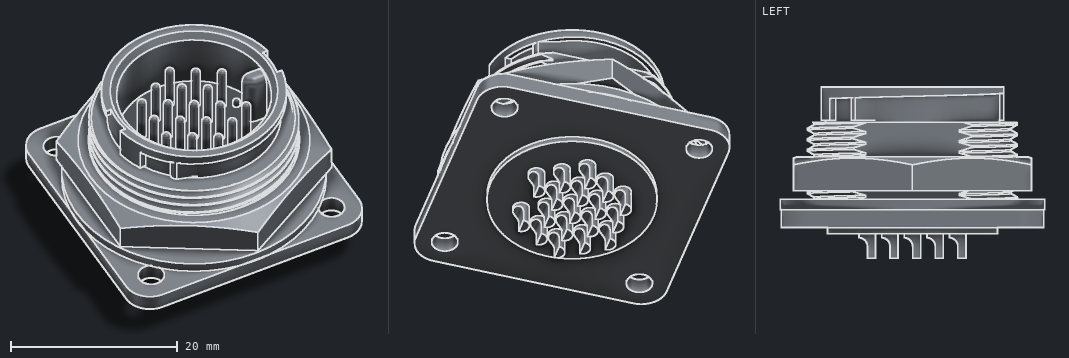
import cadquery as cq
import math

total_height = 20.55
tail_length = 2.92
insert_protrusion = 0.76
tail_bottom = -insert_protrusion - tail_length
flange_top = 2.15
collar_top = 3.4
nut_bottom = 4.4
nut_top = 8.47
thread_top = 12.6
rim_bottom = 12.85
shell_top = total_height + tail_bottom
socket_floor = 9.1

flange_side = 31.5
flange_corner_radius = 3.2
mount_hole_diameter = 3.15
mount_hole_spacing = 24.4
collar_diameter = 31.75
insert_radius = 10.2

thread_pitch = 1.27
thread_root_radius = 11.85
thread_crest_radius = 12.6
thread_crest_width = 0.2
thread_base_width = 1.05
thread_root_overlap = 0.1
thread_crest_height = 11.48
barrel_flat_x = -10.43

barrel_radius = 10.45
rim_radius = 11.1
notch_half_width = 1.84
stop_x = 5.0
ramp_high = 16.08
ramp_low = 15.47
channel_overrun_angle = 4
rim_overlap = 0.3
detent_start_angle = 25.6
detent_crest_angle = 38.3
detent_end_angle = 43.6
detent_shoulder_radius = 0.8

socket_radius = 9.28
mouth_radius = 10.04
key_radius = 1.21
key_centre_y = 7.85
key_top = 15.8
locator_radius = 0.45
locator_height = 0.9
locator_position = (-2.32, 6.97)
contact_pitch = 3.13
contact_row_spacing = contact_pitch * math.sqrt(3) / 2
contact_row_counts = [3, 4, 5, 4, 3]
contact_radius = 0.54
contact_top = 14.98
cup_radius = 1.0
cup_collar_length = 0.47

nut_across_corners = 33.0
nut_bevel_radius = 13.9
nut_bevel_angle = 20
nut_countersink_radius = 12.68


def cylinder(radius, bottom, top):
    return cq.Workplane("XY").workplane(offset=bottom).circle(radius).extrude(top - bottom)


def polar_point(radius, angle):
    return (radius * math.cos(math.radians(angle)), radius * math.sin(math.radians(angle)))


def half_turn_pair(feature):
    """The feature together with its copy turned half way round the Z axis."""
    return feature.union(feature.rotate((0, 0, 0), (0, 0, 1), 180))


def make_flange():
    plate = (
        cq.Workplane("XY")
        .rect(flange_side, flange_side)
        .extrude(flange_top)
        .edges("|Z")
        .fillet(flange_corner_radius)
        .faces(">Z")
        .workplane()
        .rect(mount_hole_spacing, mount_hole_spacing, forConstruction=True)
        .vertices()
        .hole(mount_hole_diameter)
    )
    collar = cylinder(collar_diameter / 2, flange_top, collar_top)
    insert_base = cylinder(insert_radius, -insert_protrusion, 0)
    return plate.union(collar).union(insert_base)


def make_threaded_barrel():
    """Round threaded barrel, before its flat is cut."""
    runout_turns = 2
    turns = math.ceil((thread_top - collar_top) / thread_pitch) + 2 * runout_turns
    start_height = thread_crest_height - (turns - runout_turns) * thread_pitch
    foot_radius = thread_root_radius - thread_root_overlap
    flank_slope = (thread_base_width - thread_crest_width) / (thread_crest_radius - thread_root_radius)
    foot_width = thread_base_width + flank_slope * thread_root_overlap
    helix = cq.Wire.makeHelix(thread_pitch, turns * thread_pitch, foot_radius)
    ridge = (
        cq.Workplane("XZ")
        .moveTo(foot_radius, -foot_width / 2)
        .lineTo(thread_crest_radius, -thread_crest_width / 2)
        .lineTo(thread_crest_radius, thread_crest_width / 2)
        .lineTo(foot_radius, foot_width / 2)
        .close()
        .sweep(cq.Workplane(helix), isFrenet=True)
        .translate((0, 0, start_height))
    )
    envelope = cylinder(collar_diameter / 2, collar_top, thread_top)
    core = cylinder(thread_root_radius, collar_top, thread_top)
    return core.union(ridge.intersect(envelope))


def cut_barrel_flat(barrel):
    flat_depth = thread_crest_radius + barrel_flat_x
    waste = cq.Workplane("XY").box(
        2 * flat_depth, collar_diameter, 2 * shell_top
    )
    return barrel.cut(waste.translate((barrel_flat_x - flat_depth, 0, 0)))


def make_ramp_channel():
    """Space under one half of the rim, rising from the stop wall to the notch."""
    stop_angle = 180 - math.degrees(math.acos(stop_x / rim_radius))
    notch_angle = 270 - math.degrees(math.asin(notch_half_width / rim_radius))
    rise_per_degree = (ramp_high - ramp_low) / (notch_angle - stop_angle)
    start_angle = stop_angle - channel_overrun_angle
    sweep_angle = notch_angle + channel_overrun_angle - start_angle
    start_height = ramp_low - channel_overrun_angle * rise_per_degree
    helix = cq.Wire.makeHelix(360 * rise_per_degree, sweep_angle * rise_per_degree, rim_radius)
    inner = barrel_radius - rim_overlap
    outer = rim_radius + rim_overlap
    channel_height = start_height - rim_bottom + 2 * (ramp_high - ramp_low)
    channel = (
        cq.Workplane("XZ")
        .moveTo(inner, 0)
        .lineTo(outer, 0)
        .lineTo(outer, -channel_height)
        .lineTo(inner, -channel_height)
        .close()
        .sweep(cq.Workplane(helix), isFrenet=True)
        .rotate((0, 0, 0), (0, 0, 1), start_angle)
        .translate((0, 0, start_height))
    )
    stop_block = cq.Workplane("XY").box(
        stop_x, outer, shell_top, centered=(False, False, False)
    )
    return channel.cut(stop_block.translate((-stop_x, 0, 0)))


def make_detent():
    """Small ridge under the rim that holds the bayonet pin against the stop wall."""
    root = barrel_radius - rim_overlap
    outline = (
        cq.Workplane("XY")
        .workplane(offset=rim_bottom)
        .moveTo(*polar_point(root, detent_start_angle))
        .lineTo(*polar_point(barrel_radius, detent_start_angle))
        .lineTo(*polar_point(rim_radius, detent_crest_angle))
        .radiusArc(polar_point(barrel_radius, detent_end_angle), -detent_shoulder_radius)
        .lineTo(*polar_point(root, detent_end_angle))
        .close()
    )
    detent = outline.extrude(ramp_high - rim_bottom)
    detent = detent.intersect(cylinder(rim_radius, rim_bottom, ramp_high))
    return detent.mirror("YZ")


def make_bayonet():
    rim = cylinder(rim_radius, rim_bottom, shell_top)
    notch = cq.Workplane("XY").box(2 * notch_half_width, collar_diameter, 2 * shell_top)
    rim = rim.cut(notch)
    rim = rim.cut(half_turn_pair(make_ramp_channel()))
    rim = rim.union(half_turn_pair(make_detent()))
    return rim.union(cylinder(barrel_radius, thread_top, shell_top))


def make_socket():
    chamfer_depth = mouth_radius - socket_radius
    return (
        cq.Workplane("XZ")
        .moveTo(0, socket_floor)
        .lineTo(socket_radius, socket_floor)
        .lineTo(socket_radius, shell_top - chamfer_depth)
        .lineTo(mouth_radius, shell_top)
        .lineTo(0, shell_top)
        .close()
        .revolve(360, (0, 0, 0), (0, 1, 0))
    )


def make_key():
    """Polarising key on the +Y wall of the socket, rounded on its nose and top."""
    axis_height = key_top - key_radius
    wall_y = (socket_radius + mouth_radius) / 2
    length = wall_y - key_centre_y
    post = cylinder(key_radius, socket_floor, axis_height).translate((0, key_centre_y, 0))
    web = cq.Workplane("XY").box(
        2 * key_radius, length, axis_height - socket_floor, centered=(True, False, False)
    )
    web = web.translate((0, key_centre_y, socket_floor))
    crown = cq.Workplane("XZ").circle(key_radius).extrude(-length)
    crown = crown.union(cq.Workplane("XY").sphere(key_radius))
    return post.union(web).union(crown.translate((0, key_centre_y, axis_height)))


def domed_pin(radius, bottom, top):
    shaft_top = top - radius
    dome = cq.Workplane("XY").sphere(radius).translate((0, 0, shaft_top))
    return cylinder(radius, bottom, shaft_top).union(dome)


def make_locator():
    pip = domed_pin(locator_radius, socket_floor, socket_floor + locator_height)
    return pip.translate((*locator_position, 0))


def make_contact():
    """Contact pin above the socket floor with a half-round solder tail below the flange."""
    tail_top = -insert_protrusion
    tail = cylinder(cup_radius, tail_bottom, tail_top)
    waste_top = tail_top - cup_collar_length
    waste = (
        cq.Workplane("YZ")
        .moveTo(0, tail_bottom)
        .lineTo(0, waste_top - cup_radius)
        .radiusArc((cup_radius, waste_top), cup_radius)
        .lineTo(cup_radius, tail_bottom)
        .close()
        .extrude(cup_radius, both=True)
    )
    return domed_pin(contact_radius, tail_top, contact_top).union(tail.cut(waste))


def contact_positions():
    """Hexagonal pattern of contacts, with the one beside the key left out."""
    middle_row = (len(contact_row_counts) - 1) / 2
    key_row = len(contact_row_counts) - 1
    positions = []
    for row, count in enumerate(contact_row_counts):
        y = (row - middle_row) * contact_row_spacing
        for column in range(count):
            x = (column - (count - 1) / 2) * contact_pitch
            if row == key_row and x == 0:
                continue
            positions.append((x, y))
    return positions


def make_connector(threaded_barrel):
    shell = make_flange().union(cut_barrel_flat(threaded_barrel)).union(make_bayonet())
    shell = shell.cut(make_socket()).union(make_key()).union(make_locator())
    contact = make_contact()
    for x, y in contact_positions():
        shell = shell.union(contact.translate((x, y, 0)))
    return shell


def make_nut(threaded_barrel):
    """Hexagonal nut whose internal thread matches the barrel."""
    corner_radius = nut_across_corners / 2
    corner_top = nut_top - (corner_radius - nut_bevel_radius) * math.tan(math.radians(nut_bevel_angle))
    countersink_bottom = nut_top - (nut_countersink_radius - thread_root_radius)
    hexagon = (
        cq.Workplane("XY")
        .workplane(offset=nut_bottom)
        .polygon(6, nut_across_corners)
        .extrude(nut_top - nut_bottom)
    )
    bevelled_ring = (
        cq.Workplane("XZ")
        .moveTo(thread_root_radius, nut_bottom)
        .lineTo(corner_radius, nut_bottom)
        .lineTo(corner_radius, corner_top)
        .lineTo(nut_bevel_radius, nut_top)
        .lineTo(nut_countersink_radius, nut_top)
        .lineTo(thread_root_radius, countersink_bottom)
        .close()
        .revolve(360, (0, 0, 0), (0, 1, 0))
    )
    return hexagon.intersect(bevelled_ring).cut(threaded_barrel)


threaded_barrel = make_threaded_barrel()
connector = make_connector(threaded_barrel)
nut = make_nut(threaded_barrel)

result = cq.Compound.makeCompound([connector.val(), nut.val()])